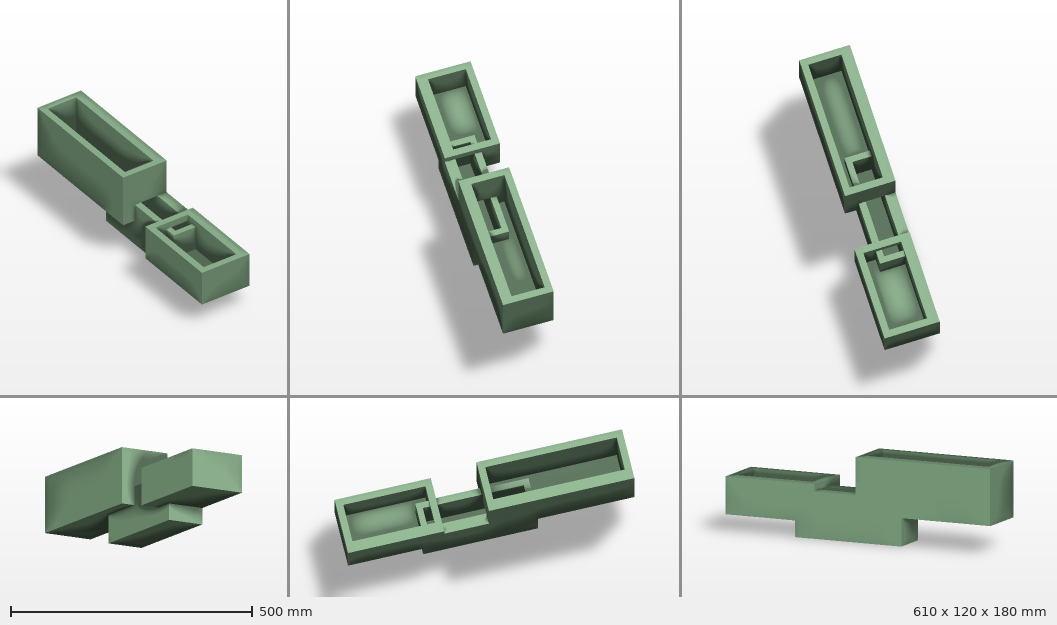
import cadquery as cq


side_wall = 15.0
front_wall = 15.0
back_wall = 23.0
floor_thickness = 9.0

back_y = 0.0

middle_length = 245.0
middle_depth = 80.0
middle_height = 100.0
middle_left = 0.0
middle_bottom = 0.0

large_length = 310.0
large_depth = 110.0
large_height = 120.0
large_overhang = 205.0
large_left = middle_left - large_overhang
large_bottom = 60.0

box_gap = 95.0
small_length = 205.0
small_depth = 120.0
small_height = 80.0
small_left = large_left + large_length + box_gap
small_bottom = 35.0

rim_inset = 2.0


def block(left, bottom, length, depth, height, back=back_y):
    """Rectangular block placed by its left end, bottom and back face."""
    return cq.Workplane("XY").box(length, depth, height, centered=False).translate((left, back - depth, bottom))


def well(left, bottom, length, depth, height):
    """Space between the four walls of a box, over its full height."""
    return block(
        left + side_wall,
        bottom,
        length - 2 * side_wall,
        depth - front_wall - back_wall,
        height,
        back=back_y - back_wall,
    )


def cavity(left, bottom, length, depth, height):
    """Hollow of a box, from the top of its floor to its open top."""
    return well(left, bottom + floor_thickness, length, depth, height - floor_thickness)


def planter(*size):
    """Open-topped box with a floor and four walls."""
    return block(*size).cut(cavity(*size))


middle_size = (middle_left, middle_bottom, middle_length, middle_depth, middle_height)
large_size = (large_left, large_bottom, large_length, large_depth, large_height)
small_size = (small_left, small_bottom, small_length, small_depth, small_height)

middle_cavity = cavity(*middle_size)

middle_box = planter(*middle_size).cut(well(*large_size)).cut(well(*small_size))


def seated_planter(*size):
    """Planter notched to fit over the middle box and open to its hollow."""
    return planter(*size).cut(middle_box).cut(middle_cavity)


def corner_rim(*size):
    """L-shaped wall around the hollow of the middle box, standing on the floor of the given box."""
    rim_block = block(
        middle_left + rim_inset,
        middle_bottom,
        middle_length - 2 * rim_inset,
        middle_depth - rim_inset,
        middle_height,
    )
    return rim_block.cut(middle_cavity).intersect(cavity(*size))


large_box = seated_planter(*large_size)
small_box = seated_planter(*small_size)
corner_rims = [corner_rim(*size) for size in (large_size, small_size)]

result = cq.Compound.makeCompound([
    middle_box.val(),
    large_box.val(),
    small_box.val(),
    *[rim.val() for rim in corner_rims],
])